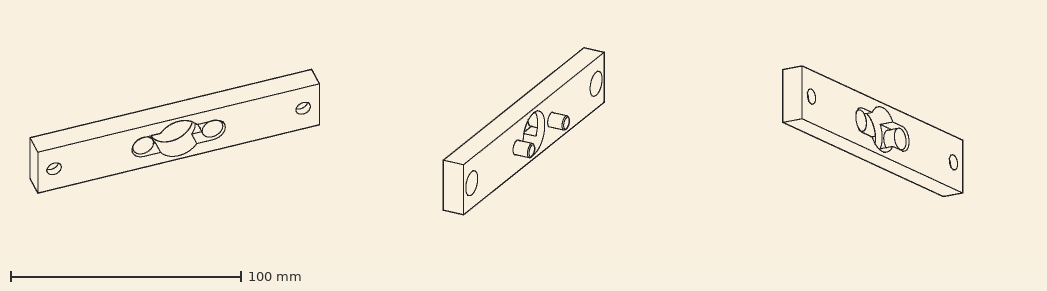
import cadquery as cq

bar_length = 130.0
bar_height = 24.0
total_depth = 17.5
screw_projection = 7.5
bar_thickness = total_depth - screw_projection
bore_diameter = 20.0

clearance_diameter = 6.6
counterbore_diameter = 11.0
counterbore_depth = 6.5
mounting_spacing = 114.9

screw_spacing = 32.0
shank_diameter = 6.4
shank_chamfer = 0.5
head_diameter = 9.5
head_height = 5.5
slot_width = counterbore_diameter
slot_depth = counterbore_depth


def cylinder_along_x(diameter, start, length, y=0.0):
    """Cylinder on the bar's centre line, running towards +X."""
    return cq.Workplane("YZ", origin=(start, y, 0)).circle(diameter / 2).extrude(length)


def make_bar():
    bar = cq.Workplane("XY").box(bar_thickness, bar_length, bar_height, centered=(False, True, True))
    bar = bar.cut(cylinder_along_x(bore_diameter, 0, bar_thickness))

    for y in (-mounting_spacing / 2, mounting_spacing / 2):
        bar = bar.cut(cylinder_along_x(clearance_diameter, 0, bar_thickness, y))
        bar = bar.cut(cylinder_along_x(counterbore_diameter, 0, counterbore_depth, y))

    slot = (
        cq.Workplane("YZ", origin=(bar_thickness - slot_depth, 0, 0))
        .slot2D(screw_spacing + slot_width, slot_width)
        .extrude(slot_depth)
    )
    bar = bar.cut(slot)

    for y in (-screw_spacing / 2, screw_spacing / 2):
        bar = bar.cut(cylinder_along_x(clearance_diameter, 0, bar_thickness, y))
    return bar


def make_cap_screw(y):
    head_seat = bar_thickness - slot_depth
    shank = cylinder_along_x(shank_diameter, -screw_projection, screw_projection + head_seat, y)
    shank = shank.faces("<X").chamfer(shank_chamfer)
    head = cylinder_along_x(head_diameter, head_seat, head_height, y)
    return shank.union(head)


bar = make_bar()
cap_screws = [make_cap_screw(y) for y in (-screw_spacing / 2, screw_spacing / 2)]

result = cq.Compound.makeCompound([bar.val(), *[screw.val() for screw in cap_screws]])